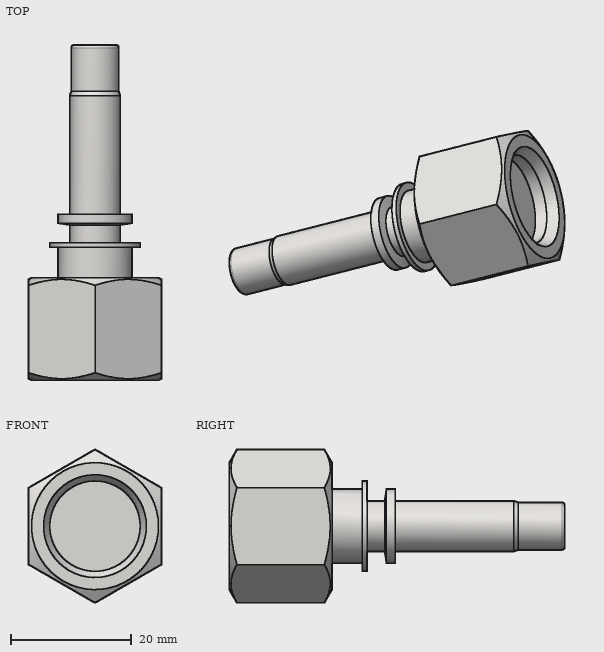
import cadquery as cq
import math


nut_across_flats = 22.0
nut_length = 17.0
nut_face_diameter = 21.0
nut_chamfer_angle = 30.0
nut_sides = 6
half_side_angle = 180.0 / nut_sides
envelope_margin = 1.0

socket_mouth_diameter = 17.0
socket_diameter = 14.95
socket_half_angle = 30.0
socket_depth = 3.9

hub_diameter = 12.3
washer_diameter = 15.0
washer_start = 22.0
washer_end = 22.8

stem_diameter = 8.4
tip_diameter = 7.9
tip_length = 7.7
step_length = 0.7
tip_fillet = 0.5
overall_length = 55.5

collar_diameter = hub_diameter
collar_start = 26.0
collar_end = 27.5
collar_cone_length = 0.3


def revolve_profile(points):
    """Turn a closed (radius, Y) outline a full turn about the Y axis."""
    return cq.Workplane("XY").polyline(points).close().revolve(360, (0, 0, 0), (0, 1, 0))


def make_nut():
    """Hexagon with flats facing +X and -X and conical chamfers on both ends."""
    corner_diameter = nut_across_flats / math.cos(math.radians(half_side_angle))
    hexagon = (
        cq.Workplane("XZ")
        .polygon(nut_sides, corner_diameter)
        .extrude(-nut_length)
        .rotate((0, 0, 0), (0, 1, 0), half_side_angle)
    )
    face_radius = nut_face_diameter / 2
    envelope_radius = corner_diameter / 2 + envelope_margin
    chamfer_length = (envelope_radius - face_radius) * math.tan(math.radians(nut_chamfer_angle))
    envelope = revolve_profile([
        (0, 0),
        (face_radius, 0),
        (envelope_radius, chamfer_length),
        (envelope_radius, nut_length - chamfer_length),
        (face_radius, nut_length),
        (0, nut_length),
    ])
    return hexagon.intersect(envelope)


def make_socket():
    """Conical mouth leading into a flat-bottomed bore."""
    mouth_radius = socket_mouth_diameter / 2
    bore_radius = socket_diameter / 2
    cone_depth = (mouth_radius - bore_radius) / math.tan(math.radians(socket_half_angle))
    return revolve_profile([
        (0, 0),
        (mouth_radius, 0),
        (bore_radius, cone_depth),
        (bore_radius, socket_depth),
        (0, socket_depth),
    ])


def make_stem():
    """Hub, washer, collar and stepped stem as one turned body behind the nut."""
    hub_radius = hub_diameter / 2
    washer_radius = washer_diameter / 2
    stem_radius = stem_diameter / 2
    tip_radius = tip_diameter / 2
    collar_radius = collar_diameter / 2
    cone_start = collar_start - collar_cone_length
    tip_start = overall_length - tip_length
    turned_body = revolve_profile([
        (0, nut_length),
        (hub_radius, nut_length),
        (hub_radius, washer_start),
        (washer_radius, washer_start),
        (washer_radius, washer_end),
        (stem_radius, washer_end),
        (stem_radius, cone_start),
        (collar_radius, collar_start),
        (collar_radius, collar_end),
        (stem_radius, collar_end),
        (stem_radius, tip_start - step_length),
        (tip_radius, tip_start),
        (tip_radius, overall_length),
        (0, overall_length),
    ])
    return turned_body.edges(">Y").fillet(tip_fillet)


result = make_nut().union(make_stem()).cut(make_socket())